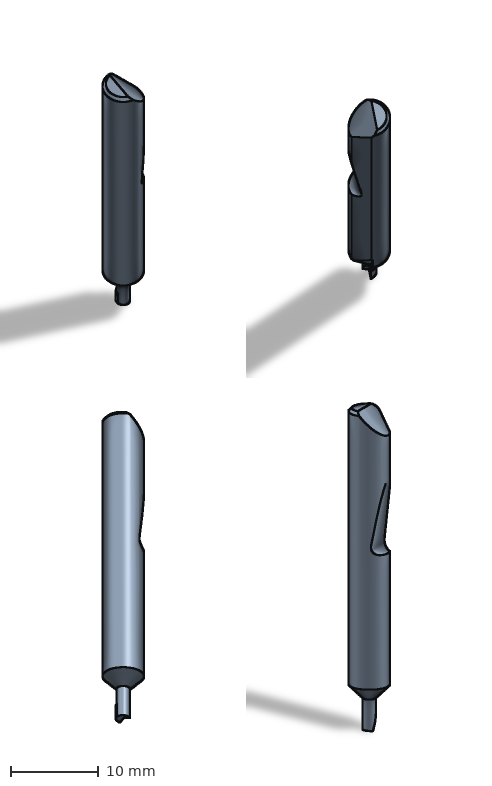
import cadquery as cq
import math

total_length = 38.1
shank_diameter = 4.76
shank_radius = shank_diameter / 2
end_chamfer = 0.4

neck_radius = 0.78
neck_top = 3.82
cone_top = neck_top + (shank_radius - neck_radius)

bevel_edge_y = -0.58

flat_distance = 2.0
flat_azimuth = 143.5

notch_floor_z = 21.2
notch_ramp_top = 29.9
notch_slope = 9.1
notch_corner_radius = 1.05

rake_start_z = 7.12
rake_lean = 20.0
rake_azimuth = 162.0

tip_height = 1.85
tip_reach = 1.03
tip_side_lean = 1.0
end_relief = 3.0
heel_x = -0.42
heel_y = -0.79
heel_end_x = 0.05
relief_radius = 1.9

notch_clearance = 5.0


def outward_block(origin, x_direction, normal):
    """Block on the outer side of a plane, wide enough to cut right across the tool."""
    plane = cq.Plane(origin=origin, xDir=x_direction, normal=normal)
    width = 4 * total_length
    return cq.Workplane(plane).rect(width, width).extrude(total_length)


def turned_body():
    """Shank, cone and neck as one revolved profile."""
    return (
        cq.Workplane("XZ")
        .moveTo(0, 0)
        .lineTo(neck_radius, 0)
        .lineTo(neck_radius, neck_top)
        .lineTo(shank_radius, cone_top)
        .lineTo(shank_radius, total_length - end_chamfer)
        .lineTo(shank_radius - end_chamfer, total_length)
        .lineTo(0, total_length)
        .close()
        .revolve(360, (0, 0, 0), (0, 1, 0))
    )


def end_bevel():
    """Everything above the 45 degree end face."""
    return outward_block((0, bevel_edge_y, total_length), (1, 0, 0), (0, 1, 1))


def shank_flat():
    """Everything outside the lengthwise flat, from the neck top upwards."""
    angle = math.radians(flat_azimuth)
    normal = (math.cos(angle), math.sin(angle), 0)
    origin = (flat_distance * normal[0], flat_distance * normal[1], 0)
    block = outward_block(origin, (0, 0, 1), normal)
    above_neck = (
        cq.Workplane("XY", origin=(0, 0, neck_top))
        .rect(2 * shank_diameter, 2 * shank_diameter)
        .extrude(total_length)
    )
    return block.intersect(above_neck)


def clamping_notch():
    """Notch with a sloping ramp, a level floor and a rounded inner corner."""
    run = math.tan(math.radians(notch_slope))
    outer_y = shank_radius + notch_clearance
    corner_y = shank_radius - (notch_ramp_top - notch_floor_z) * run
    ramp_end_z = notch_ramp_top + notch_clearance / run
    return (
        cq.Workplane("YZ", origin=(-shank_diameter, 0, 0))
        .moveTo(outer_y, notch_floor_z)
        .lineTo(corner_y, notch_floor_z)
        .lineTo(outer_y, ramp_end_z)
        .close()
        .extrude(2 * shank_diameter)
        .edges("|X and <Y")
        .fillet(notch_corner_radius)
    )


def rake_cut():
    """Leaning face that clears the +Y half of the neck beside the tip."""
    turn = math.radians(rake_azimuth)
    undercut = math.cos(turn) * math.tan(math.radians(rake_lean))
    normal = (math.cos(turn), math.sin(turn), undercut)
    block = outward_block((-shank_radius, 0, rake_start_z), (0, 0, 1), normal)
    rear_half = cq.Workplane("XY").box(
        2 * shank_diameter, shank_diameter, 2 * total_length, centered=(True, False, True)
    )
    return block.intersect(rear_half)


def cutting_tip():
    """Tip with a curved relief and a flat heel, leaning inwards as it rises from its corner."""
    heel_end_y = -math.sqrt(neck_radius**2 - heel_end_x**2)
    outline = (
        cq.Workplane("XY")
        .moveTo(0, 0)
        .lineTo(-tip_reach, 0)
        .radiusArc((heel_x, heel_y), -relief_radius)
        .lineTo(heel_end_x, heel_end_y)
        .close()
        .val()
    )
    lean = tip_height * math.tan(math.radians(tip_side_lean))
    body = cq.Workplane(cq.Solid.extrudeLinear(outline, [], cq.Vector(lean, 0, tip_height)))
    slope = math.tan(math.radians(end_relief))
    top_relief = outward_block((lean - tip_reach, 0, tip_height), (0, 1, slope), (slope, -slope, 1))
    return body.cut(top_relief)


def bottom_relief():
    """Everything below the end face, which rises from the tip corner towards +X and -Y."""
    slope = math.tan(math.radians(end_relief))
    return outward_block((-tip_reach, 0, 0), (0, 1, -slope), (slope, -slope, -1))


result = (
    turned_body()
    .cut(end_bevel())
    .cut(shank_flat())
    .cut(clamping_notch())
    .cut(rake_cut())
    .union(cutting_tip())
    .cut(bottom_relief())
)